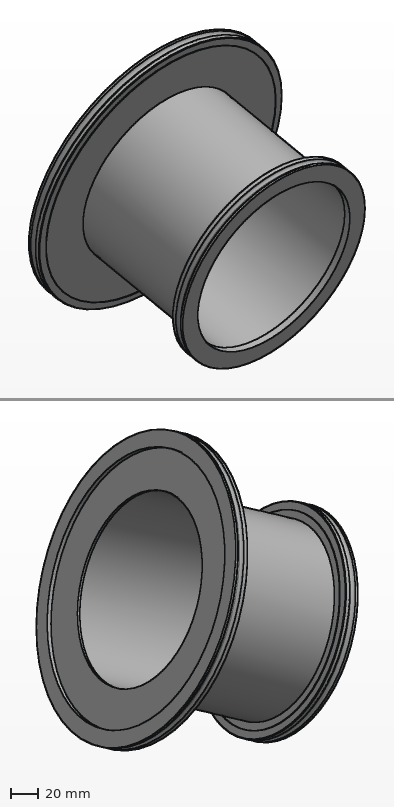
import cadquery as cq
import math

overall_length = 138.0
bore_radius = 75.0
tube_radius = 77.0
large_flange_radius = 120.0
small_flange_radius = 90.0

flange_thickness = 12.0
hub_step_height = 0.5
hub_step_inset = 6.7
lip_width = 2.28
groove_floor_offset = 5.3
groove_depth = 2.5
inner_round_radius = 2.28
rim_chamfer = 0.5

recess_radius = 106.8
recess_depth = 3.5
stop_width = 2.2

socket_start = recess_depth + stop_width
tube_length = overall_length - 2 * socket_start


def flange_blank(rim_radius):
    """Ring with a clamp groove and a tube socket, its outer face at X = 0."""
    floor_radius = rim_radius - groove_depth
    round_end_x = groove_floor_offset + inner_round_radius
    round_end_radius = floor_radius + inner_round_radius
    round_mid_x = groove_floor_offset + inner_round_radius * math.sin(math.pi / 4)
    round_mid_radius = round_end_radius - inner_round_radius * math.cos(math.pi / 4)
    rim_back_x = flange_thickness - hub_step_height
    hub_radius = rim_radius - hub_step_inset
    profile = (
        cq.Workplane("XY")
        .moveTo(0, bore_radius)
        .lineTo(socket_start, bore_radius)
        .lineTo(socket_start, tube_radius)
        .lineTo(flange_thickness, tube_radius)
        .lineTo(flange_thickness, hub_radius)
        .lineTo(rim_back_x, hub_radius)
        .lineTo(rim_back_x, rim_radius - rim_chamfer)
        .lineTo(rim_back_x - rim_chamfer, rim_radius)
        .lineTo(round_end_x, rim_radius)
        .lineTo(round_end_x, round_end_radius)
        .threePointArc((round_mid_x, round_mid_radius), (groove_floor_offset, floor_radius))
        .tangentArcPoint((lip_width, rim_radius), relative=False)
        .lineTo(0, rim_radius)
        .close()
    )
    return profile.revolve(360, (0, 0, 0), (1, 0, 0))


def make_large_flange():
    """Flange at the -X end, with a shallow round recess in its outer face."""
    recess = cq.Workplane("YZ").circle(recess_radius).extrude(recess_depth)
    return flange_blank(large_flange_radius).cut(recess)


def make_small_flange():
    """Flange at the +X end, facing the opposite way."""
    return flange_blank(small_flange_radius).mirror("YZ").translate((overall_length, 0, 0))


def make_tube():
    """Plain tube whose ends sit in the sockets of both flanges."""
    ring = cq.Workplane("YZ", origin=(socket_start, 0, 0)).circle(tube_radius).circle(bore_radius)
    return ring.extrude(tube_length)


large_flange = make_large_flange()
small_flange = make_small_flange()
tube = make_tube()

result = cq.Compound.makeCompound([large_flange.val(), small_flange.val(), tube.val()])